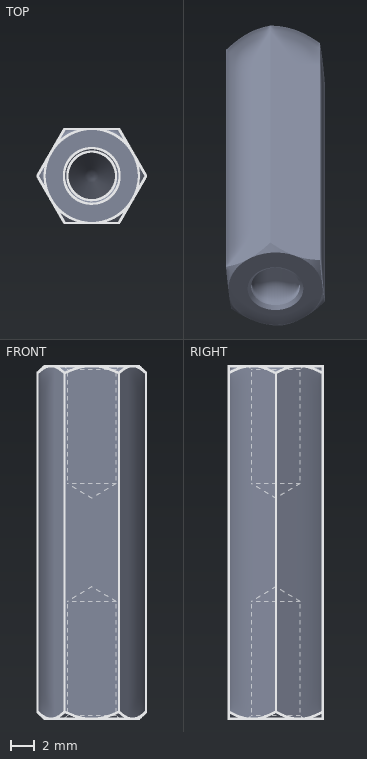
import cadquery as cq
import math

length = 30.0
across_flats = 8.0
across_corners = across_flats / math.cos(math.radians(30))
corner_drop = 0.6

bore_diameter = 4.15
bore_depth = 10.0
drill_point_angle = 118.0
mouth_diameter = 4.75


def make_chamfer_envelope():
    """Revolved barrel whose conical ends trim the hexagon corners."""
    face_radius = across_flats / 2
    corner_radius = across_corners / 2
    return (
        cq.Workplane("XZ")
        .moveTo(0, 0)
        .lineTo(face_radius, 0)
        .lineTo(corner_radius, corner_drop)
        .lineTo(corner_radius, length - corner_drop)
        .lineTo(face_radius, length)
        .lineTo(0, length)
        .close()
        .revolve(360, (0, 0, 0), (0, 1, 0))
    )


def make_top_bore():
    """Countersunk bore with a conical drill point, cut down from the top face."""
    bore_radius = bore_diameter / 2
    mouth_radius = mouth_diameter / 2
    mouth_depth = mouth_radius - bore_radius
    point_depth = bore_radius / math.tan(math.radians(drill_point_angle / 2))
    return (
        cq.Workplane("XZ")
        .moveTo(0, length)
        .lineTo(mouth_radius, length)
        .lineTo(bore_radius, length - mouth_depth)
        .lineTo(bore_radius, length - bore_depth)
        .lineTo(0, length - bore_depth - point_depth)
        .close()
        .revolve(360, (0, 0, 0), (0, 1, 0))
    )


hexagon = cq.Workplane("XY").polygon(6, across_corners).extrude(length)
body = hexagon.intersect(make_chamfer_envelope())

top_bore = make_top_bore()
bottom_bore = top_bore.mirror("XY", (0, 0, length / 2))

result = body.cut(top_bore).cut(bottom_bore)